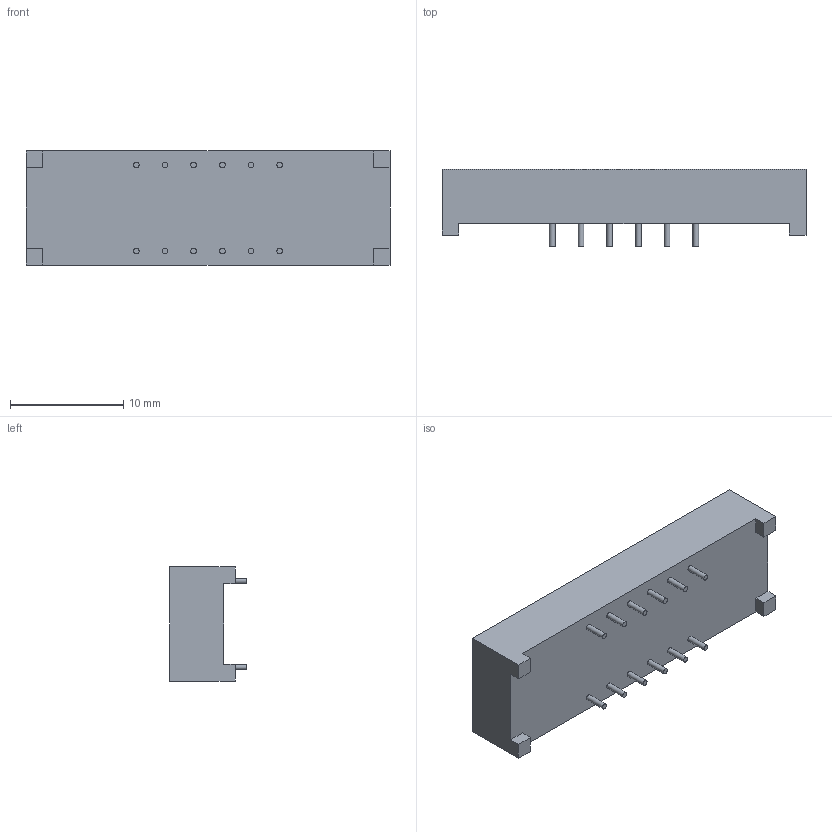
import cadquery as cq

length = 32.2
height = 10.1
body_depth = 4.8
overall_depth = 6.8

feet_per_side = 2
foot_size = 1.5
foot_height = 1.0

pin_rows = 2
pins_per_row = 6
pin_pitch = 2.54
pitches_between_rows = 3
row_spacing = pitches_between_rows * pin_pitch
pin_diameter = 0.5
pin_length = overall_depth - body_depth


def make_body():
    """Plain block with its pin face on Y = 0 and its back at +Y."""
    return cq.Workplane("XY").box(length, body_depth, height, centered=(True, False, True))


def make_feet():
    """Corner feet standing on the pin face, flush with the outer sides."""
    return (
        cq.Workplane("XZ")
        .rarray(length - foot_size, height - foot_size, feet_per_side, feet_per_side)
        .rect(foot_size, foot_size)
        .extrude(foot_height)
    )


def make_pins():
    """Both rows of pins, standing on the pin face."""
    return (
        cq.Workplane("XZ")
        .rarray(pin_pitch, row_spacing, pins_per_row, pin_rows)
        .circle(pin_diameter / 2)
        .extrude(pin_length)
    )


result = make_body().union(make_feet()).union(make_pins())